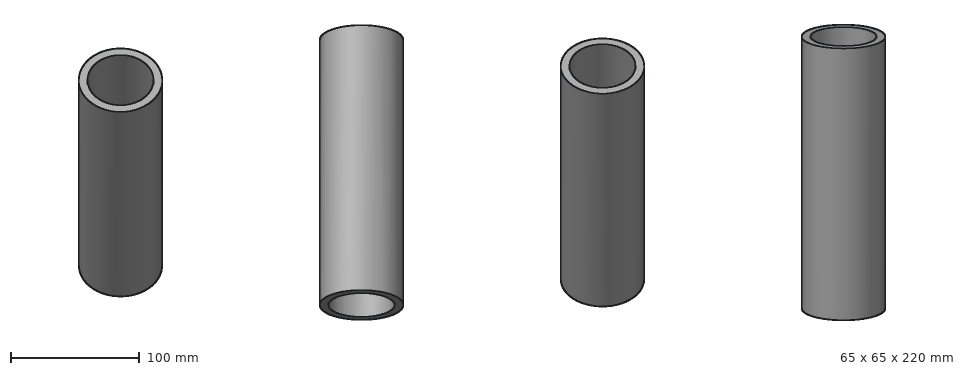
import cadquery as cq

length = 220.0
outer_diameter = 65.0
wall_thickness = 6.8
inner_diameter = outer_diameter - 2 * wall_thickness

result = (
    cq.Workplane("XY")
    .circle(outer_diameter / 2)
    .circle(inner_diameter / 2)
    .extrude(length)
)